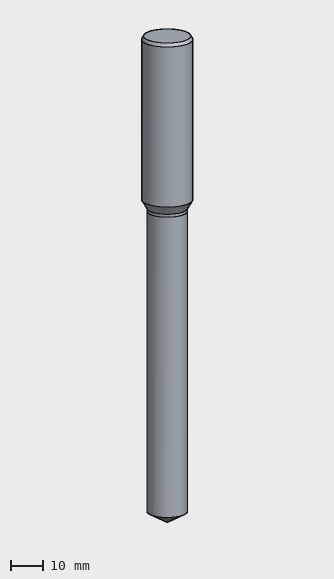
import cadquery as cq
import math

total_length = 158.0
shank_diameter = 16.0
drill_diameter = 12.6
shank_length = 53.1
chamfer_height = 1.1
chamfer_width = 0.6
taper_length = 2.8
neck_length = 1.0
point_angle = 120.0

shank_radius = shank_diameter / 2
drill_radius = drill_diameter / 2
point_height = drill_radius / math.tan(math.radians(point_angle / 2))
taper_top = total_length - shank_length
taper_bottom = taper_top - taper_length
drill_top = taper_bottom - neck_length


def revolve_profile(points):
    """Revolve a closed (radius, height) outline around the Z axis."""
    return cq.Workplane("XZ").polyline(points).close().revolve(360, (0, 0), (0, 1))


def make_shank():
    """Chamfered cylindrical shank that tapers down to a short neck."""
    return revolve_profile([
        (0, drill_top),
        (drill_radius, drill_top),
        (drill_radius, taper_bottom),
        (shank_radius, taper_top),
        (shank_radius, total_length - chamfer_height),
        (shank_radius - chamfer_width, total_length),
        (0, total_length),
    ])


def make_drill():
    """Plain cylindrical drill body with a conical point."""
    return revolve_profile([
        (0, 0),
        (drill_radius, point_height),
        (drill_radius, drill_top),
        (0, drill_top),
    ])


shank = make_shank()
drill = make_drill()

result = cq.Compound.makeCompound([shank.val(), drill.val()])